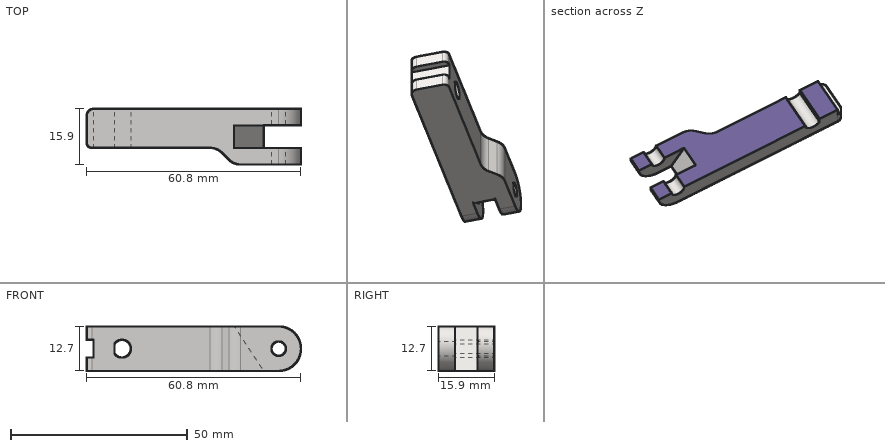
import cadquery as cq
import math

length = 60.8
width = 15.85
height = 12.7

arm_thickness = 4.75
body_width = width - arm_thickness
bend_angle = 45.0
bend_start = 36.95
bend_end = bend_start + arm_thickness / math.tan(math.radians(bend_angle))
bend_radius = 4.7
front_corner_radius = 1.5
back_corner_radius = 2.0

fork_gap = width - 2 * arm_thickness
fork_root_top = 41.8
fork_root_bottom = 50.2
fork_radius = height / 2
pivot_diameter = 4.0

groove_depth = 1.95
groove_height = 5.0
cross_hole_x = 10.0
cross_hole_flat_x = 7.95

mid_z = height / 2
front_face_y = arm_thickness


def make_body():
    """Bar with a 45 degree step out to the front fork arm, all bends rounded."""
    outline = [
        (0, front_face_y),
        (bend_start, front_face_y),
        (bend_end, 0),
        (length, 0),
        (length, width),
        (0, width),
    ]
    body = cq.Workplane("XY").polyline(outline).close().extrude(height)
    rounded_edges = [
        ((0, front_face_y), front_corner_radius),
        ((0, width), back_corner_radius),
        ((bend_start, front_face_y), bend_radius),
        ((bend_end, 0), bend_radius),
    ]
    for (x, y), radius in rounded_edges:
        edge = cq.selectors.NearestToPointSelector((x, y, mid_z))
        body = body.edges("|Z").edges(edge).fillet(radius)
    return body


def make_side_profile():
    """Straight bar with a full-round +X end, spanning the whole width."""
    fork_center_x = length - fork_radius
    return (
        cq.Workplane("XZ")
        .lineTo(fork_center_x, 0)
        .threePointArc((length, mid_z), (fork_center_x, height))
        .lineTo(0, height)
        .close()
        .extrude(-width)
    )


def make_cross_cylinder(x, diameter):
    """Cylinder along Y at mid height, spanning the whole width."""
    return cq.Workplane("XZ").center(x, mid_z).circle(diameter / 2).extrude(-width)


def make_fork_slot():
    """Gap between the fork arms, with a sloping root."""
    return (
        cq.Workplane("XZ", origin=(0, arm_thickness, 0))
        .moveTo(fork_root_bottom, 0)
        .lineTo(length, 0)
        .lineTo(length, height)
        .lineTo(fork_root_top, height)
        .close()
        .extrude(-fork_gap)
    )


def make_end_groove():
    """Square groove across the -X end face."""
    return cq.Workplane("XY").box(
        groove_depth, width, groove_height, centered=(False, False, True)
    ).translate((0, 0, mid_z))


def make_cross_hole():
    """Round hole through the bar with a flat on its -X side."""
    flat_limit = cq.Workplane("XY").box(length, width, height, centered=False)
    flat_limit = flat_limit.translate((cross_hole_flat_x, 0, 0))
    return make_cross_cylinder(cross_hole_x, groove_height).intersect(flat_limit)


result = (
    make_body()
    .intersect(make_side_profile())
    .cut(make_fork_slot())
    .cut(make_cross_cylinder(length - fork_radius, pivot_diameter))
    .cut(make_end_groove())
    .cut(make_cross_hole())
)